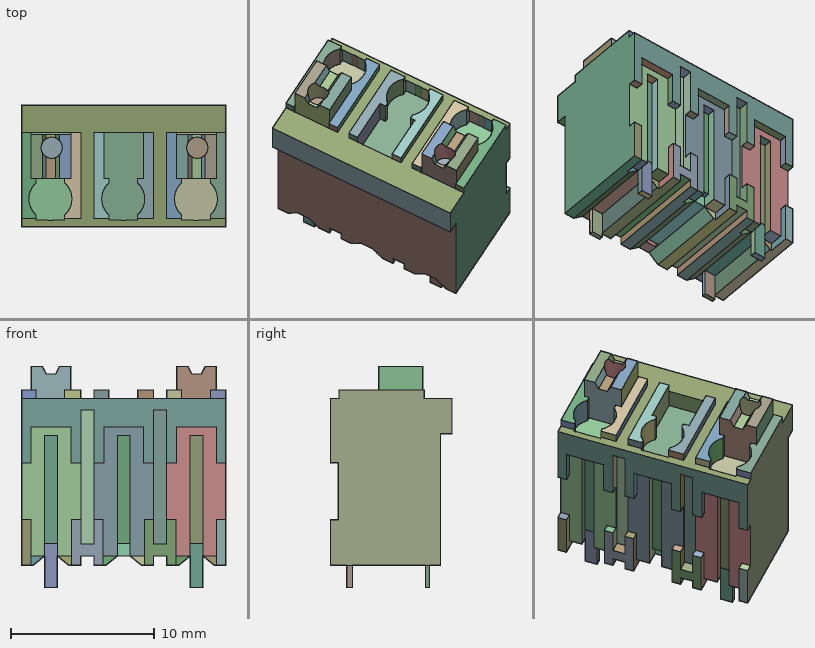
import cadquery as cq


pole_pitch = 5.08
pole_centers = [-pole_pitch, 0, pole_pitch]
fitted_poles = [-pole_pitch, pole_pitch]
gap_centers = [-pole_pitch / 2, pole_pitch / 2]

width = 14.26
body_rear = 7.7
lip_rear = 8.5
lip_bottom = 9.18
shoulder_z = 11.66
rail_top = 12.26
rail_front = 0.59
rail_rear = 6.57

gap_width = 0.9
gap_slot_depth = 0.77
gap_slot_bottom = 1.48
gap_slot_top = 10.83

recess_depth = 0.54
recess_top = 9.65
upper_recess_width = 2.78
upper_post_bottom = 7.16
lower_post_top = 3.2
lower_post_width = 0.65
groove_width = 0.9
groove_depth = 1.13
groove_top = 9.06

foot_height = 0.65
arch_bottom_width = 2.5

pin_width = groove_width
pin_top = 1.54
pin_bottom = -1.55
front_pin_y = groove_depth
front_pin_thickness = 0.42
rear_pin_y = 6.63
rear_pin_thickness = 0.3
front_pin_rear = front_pin_y + front_pin_thickness

well_floor = 10.26
well_width = 2.78
well_front = 3.37
throat_width = 2.0
throat_front = 0.47
entry_radius = 1.5
entry_y = 1.95
entry_offset_x = -0.04

button_rear = 6.45
button_top = 13.9
notch_depth = 0.53
notch_top_width = 1.21
notch_bottom_width = 0.66
button_hole_radius = 0.74
button_hole_offset_x = 0.05
button_hole_y = 5.52
button_hole_depth = 2.0


def block(x_span, y_span, z_span):
    """Box given by its start and end along each axis."""
    spans = (x_span, y_span, z_span)
    sizes = [end - start for start, end in spans]
    corner = tuple(start for start, end in spans)
    return cq.Workplane("XY").box(*sizes, centered=False).translate(corner)


def centered_span(center, size):
    return (center - size / 2, center + size / 2)


def prism_along_y(points, y_span):
    """Extrude an outline of (X, Z) points from the first Y to the second."""
    start, end = y_span
    return cq.Workplane("XZ", origin=(0, start, 0)).polyline(points).close().extrude(start - end)


def pole_bounds(center):
    """X range of the pole between its neighbouring gap slots or the end walls."""
    reach = (pole_pitch - gap_width) / 2
    left = -width / 2 if center == pole_centers[0] else center - reach
    right = width / 2 if center == pole_centers[-1] else center + reach
    return left, right


def cut_pole_front(body, center):
    """Recess between the upper posts and between the lower posts, with a pin groove in its floor."""
    left, right = pole_bounds(center)
    lower_span = (left + lower_post_width, right - lower_post_width)
    upper_span = centered_span(center, upper_recess_width)
    body = body.cut(block(upper_span, (0, recess_depth), (lower_post_top, recess_top)))
    body = body.cut(block(lower_span, (0, recess_depth), (0, lower_post_top)))
    groove_span = centered_span(center, groove_width)
    body = body.cut(block(groove_span, (0, groove_depth), (0, groove_top)))
    return body.cut(block(lower_span, (0, front_pin_rear), (0, foot_height)))


def cut_pole_underside(body, center):
    """Tapered channel from front to rear, with a socket in its roof for each pin."""
    half_bottom = arch_bottom_width / 2
    half_top = pin_width / 2
    arch = [
        (center - half_bottom, 0),
        (center - half_top, foot_height),
        (center + half_top, foot_height),
        (center + half_bottom, 0),
    ]
    body = body.cut(prism_along_y(arch, (0, body_rear)))
    pin_span = centered_span(center, pin_width)
    front_span = (front_pin_y, front_pin_rear)
    rear_span = (rear_pin_y, rear_pin_y + rear_pin_thickness)
    for y_span in (front_span, rear_span):
        body = body.cut(block(pin_span, y_span, (0, pin_top)))
    return body


def cut_pole_top(body, center):
    """Button well joined by a throat to the round wire entry."""
    depth_span = (well_floor, rail_top)
    body = body.cut(block(centered_span(center, well_width), (well_front, rail_rear), depth_span))
    entry_x = center + entry_offset_x
    body = body.cut(block(centered_span(entry_x, throat_width), (throat_front, well_front), depth_span))
    entry = cq.Workplane("XY", origin=(entry_x, entry_y, well_floor))
    return body.cut(entry.circle(entry_radius).extrude(rail_top - well_floor))


def make_housing():
    full_width = centered_span(0, width)
    body = block(full_width, (0, body_rear), (0, shoulder_z))
    body = body.union(block(full_width, (body_rear, lip_rear), (lip_bottom, shoulder_z)))
    for center in pole_centers:
        rail_span = pole_bounds(center)
        body = body.union(block(rail_span, (rail_front, rail_rear), (shoulder_z, rail_top)))

    body = body.cut(block(full_width, (0, recess_depth), (lower_post_top, upper_post_bottom)))

    for center in gap_centers:
        gap_span = centered_span(center, gap_width)
        body = body.cut(block(gap_span, (0, gap_slot_depth), (gap_slot_bottom, gap_slot_top)))
        body = body.cut(block(gap_span, (0, body_rear), (0, foot_height)))

    for center in pole_centers:
        body = cut_pole_front(body, center)
        body = cut_pole_underside(body, center)
        body = cut_pole_top(body, center)
    return body


def make_button(center):
    """Push button resting on the well floor, with a screwdriver notch and a round blind hole."""
    button = block(
        centered_span(center, well_width),
        (well_front, button_rear),
        (well_floor, button_top),
    )
    notch_floor = button_top - notch_depth
    notch = [
        (center - notch_top_width / 2, button_top),
        (center - notch_bottom_width / 2, notch_floor),
        (center + notch_bottom_width / 2, notch_floor),
        (center + notch_top_width / 2, button_top),
    ]
    button = button.cut(prism_along_y(notch, (well_front, button_rear)))
    hole_start = cq.Workplane("XY", origin=(center + button_hole_offset_x, button_hole_y, button_top))
    return button.cut(hole_start.circle(button_hole_radius).extrude(-button_hole_depth))


def make_pin(center, front_y, thickness):
    return block(
        centered_span(center, pin_width),
        (front_y, front_y + thickness),
        (pin_bottom, pin_top),
    )


housing = make_housing()
buttons = [make_button(center) for center in fitted_poles]
front_pins = [make_pin(center, front_pin_y, front_pin_thickness) for center in fitted_poles]
rear_pins = [make_pin(center, rear_pin_y, rear_pin_thickness) for center in fitted_poles]

bodies = [housing, *buttons, *front_pins, *rear_pins]
result = cq.Compound.makeCompound([body.solids().val() for body in bodies])